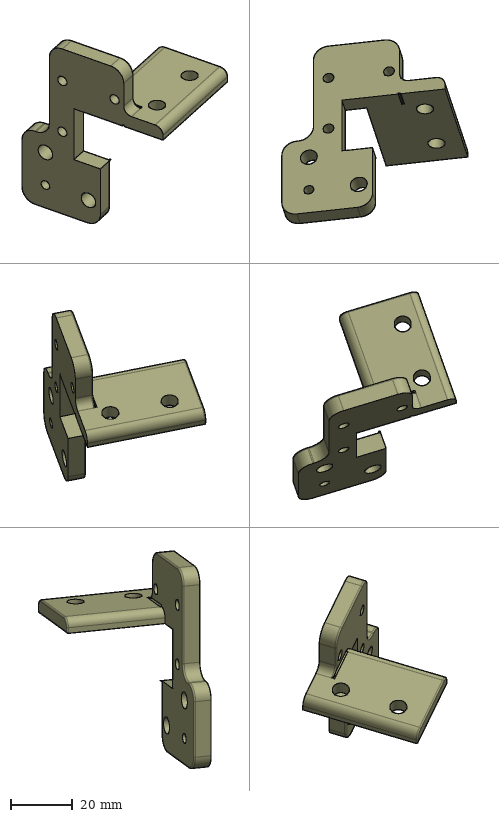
import cadquery as cq

width = 54.0
depth = 40.0
height = 65.0

plate_thickness = 6.0
plate_corner = 5.0
edge_round = 0.5
foot_right = 30.0
foot_top = 28.8
neck_left = 10.45
head_right = 39.0

notch_left = 19.9
notch_bottom = 23.0
notch_top = 43.0

shelf_left = 27.0
shelf_thickness = 4.95
shelf_top = notch_top + shelf_thickness
shelf_corner = 3.0
relief_width = 0.9
relief_height = 0.4
lip_height = 0.4

hole_pitch = 20.0
head_hole_diameter = 3.5
head_hole_x = 15.5
head_hole_z = 52.4
large_hole_diameter = 5.5
foot_pin_diameter = 3.25
foot_hole_left = 9.0
foot_hole_right = 25.5
foot_hole_low = 9.05
foot_hole_high = 21.9
shelf_hole_x = 45.5
shelf_hole_y = 10.0


def front_plane():
    """Sketch plane facing the front, whose extrusions run towards +Y."""
    return cq.Workplane(cq.Plane(origin=(0, 0, 0), xDir=(1, 0, 0), normal=(0, -1, 0)))


def box(x0, x1, y0, y1, z0, z1):
    return cq.Workplane("XY").box(x1 - x0, y1 - y0, z1 - z0, centered=False).translate((x0, y0, z0))


def front_hole(x, z, diameter):
    return front_plane().center(x, z).circle(diameter / 2).extrude(-plate_thickness)


def make_plate():
    """Rounded S-shaped plate with a rounded rear rim, notched after rounding."""
    r = plate_corner
    outline = (
        front_plane()
        .moveTo(r, 0)
        .lineTo(foot_right - r, 0)
        .radiusArc((foot_right, r), -r)
        .lineTo(foot_right, notch_top)
        .lineTo(head_right, notch_top)
        .lineTo(head_right, height - r)
        .radiusArc((head_right - r, height), -r)
        .lineTo(neck_left + r, height)
        .radiusArc((neck_left, height - r), -r)
        .lineTo(neck_left, foot_top + r)
        .radiusArc((neck_left - r, foot_top), r)
        .lineTo(r, foot_top)
        .radiusArc((0, foot_top - r), -r)
        .lineTo(0, r)
        .radiusArc((r, 0), -r)
        .close()
    )
    plate = outline.extrude(-plate_thickness).faces(">Y").edges().fillet(edge_round)
    notch = box(notch_left, foot_right, 0, plate_thickness, notch_bottom, notch_top)
    return plate.cut(notch)


def make_shelf():
    """Shelf with rounded upper side edges and a rounded rear end."""
    shelf = box(shelf_left, width, 0, depth, notch_top, shelf_top)
    return shelf.edges("|Y and >Z").fillet(shelf_corner).faces(">Y").edges().fillet(edge_round)


def make_corner_fillet():
    """Concave round between the right side of the head and the shelf top."""
    r = shelf_corner
    return (
        front_plane()
        .moveTo(head_right - edge_round, shelf_top)
        .lineTo(head_right + r, shelf_top)
        .radiusArc((head_right, shelf_top + r), r)
        .lineTo(head_right - edge_round, shelf_top + r)
        .close()
        .extrude(-plate_thickness)
        .faces(">Y")
        .edges("not(<X or <Z or >Z)")
        .fillet(edge_round)
    )


def make_seam_strip():
    """Triangular strip filling the corner between the shelf top and the rear of the plate,
    trimmed at its right end to the concave round beside the head.
    """
    strip = (
        cq.Workplane("YZ", origin=(shelf_left + shelf_corner, 0, 0))
        .moveTo(plate_thickness, shelf_top)
        .lineTo(plate_thickness + edge_round, shelf_top)
        .lineTo(plate_thickness, shelf_top + edge_round)
        .close()
        .extrude(head_right - shelf_left)
    )
    corner_cylinder = (
        front_plane()
        .center(head_right + shelf_corner, shelf_top + shelf_corner)
        .circle(shelf_corner)
        .extrude(-depth)
    )
    return strip.cut(corner_cylinder)


def make_lip():
    """Small tapered lip that squares off the rear right corner of the notch floor."""
    return (
        cq.Workplane("YZ", origin=(foot_right - edge_round, 0, 0))
        .moveTo(plate_thickness - edge_round, notch_bottom)
        .lineTo(plate_thickness + edge_round, notch_bottom)
        .lineTo(plate_thickness - edge_round, notch_bottom - lip_height)
        .close()
        .extrude(edge_round)
    )


result = make_plate().union(make_shelf()).union(make_corner_fillet())
result = result.union(make_seam_strip()).union(make_lip())

relief = (
    front_plane()
    .moveTo(head_right - relief_width / 2, notch_top)
    .lineTo(head_right + relief_width / 2, notch_top)
    .lineTo(head_right, notch_top + relief_height)
    .lineTo(head_right - relief_width / 2, notch_top + relief_height)
    .close()
    .extrude(-plate_thickness)
)
result = result.cut(relief)

for column, row in [(0, 0), (1, 0), (0, 1)]:
    hole_x = head_hole_x + column * hole_pitch
    hole_z = head_hole_z - row * hole_pitch
    result = result.cut(front_hole(hole_x, hole_z, head_hole_diameter))

result = result.cut(front_hole(foot_hole_left, foot_hole_high, large_hole_diameter))
result = result.cut(front_hole(foot_hole_right, foot_hole_low, large_hole_diameter))
result = result.cut(front_hole(foot_hole_left, foot_hole_low, foot_pin_diameter))

for row in range(2):
    hole = cq.Workplane("XY", origin=(shelf_hole_x, shelf_hole_y + row * hole_pitch, notch_top))
    result = result.cut(hole.circle(large_hole_diameter / 2).extrude(shelf_thickness))